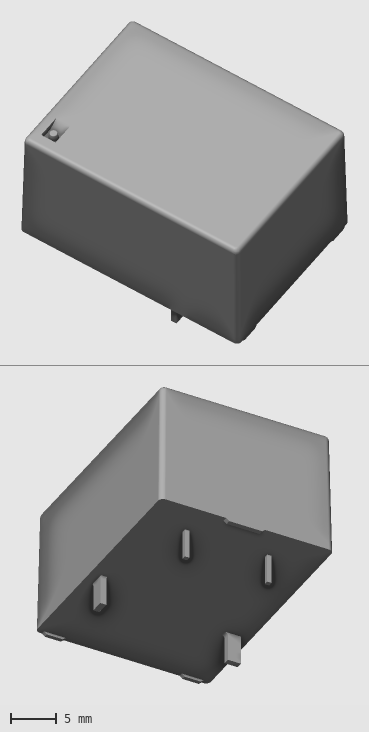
import cadquery as cq
import math

CASE_LENGTH = 28.9
CASE_WIDTH = 21.4
CASE_HEIGHT = 15.35
CASE_DRAFT = 1.0
CASE_EDGE_RADIUS = 0.6

STANDOFF_HEIGHT = 0.3
CENTRE_STANDOFF_LENGTH = 0.6
CORNER_STANDOFF_LENGTH = 0.5
STANDOFF_CHAMFER = 0.36
CENTRE_STANDOFF_Y = (-2.2, 2.6)
CORNER_STANDOFF_Y = (7.15, 9.85)

GRID = 2.54
GRID_OFFSET_Y = 0.2
PIN_LENGTH = 3.6
COIL_PIN_SIZE = 0.55
COIL_PIN_X = -4 * GRID
COIL_PIN_HALF_PITCH = 2 * GRID
BLADE_WIDTH = 1.6
BLADE_THICKNESS = 0.75
BLADE_HALF_PITCH = 3.5 * GRID
CONTACT_BLADE_X = GRID
COMMON_BLADE_X = 2 * GRID
FLARE_DEPTH = 0.4
NARROW_FLARE = 0.15
WIDE_FLARE = 0.35

RECESS_LENGTH = 1.9
RECESS_WIDTH = 2.85
RECESS_SLOPE_RUN = 1.06
RECESS_DEPTH = 0.8
RECESS_CENTRE_X = -11.9
RECESS_FRONT_Y = -8.82
POST_RADIUS = 0.58
POST_DRAFT = 10.0
POST_EDGE_RADIUS = 0.13
POST_CENTRE_Y = -7.82


def make_standoff(start_x, length, low_y, high_y):
    """Low foot under the case, narrowing downwards at both Y ends."""
    return (
        cq.Workplane("YZ", origin=(start_x, 0, 0))
        .moveTo(low_y, 0)
        .lineTo(low_y + STANDOFF_CHAMFER, -STANDOFF_HEIGHT)
        .lineTo(high_y - STANDOFF_CHAMFER, -STANDOFF_HEIGHT)
        .lineTo(high_y, 0)
        .close()
        .extrude(length)
    )


def make_standoffs():
    """One standoff amid the -X side and one near each corner of the +X side."""
    corner_start_x = CASE_LENGTH / 2 - CORNER_STANDOFF_LENGTH
    near_y, far_y = CORNER_STANDOFF_Y
    return (
        make_standoff(-CASE_LENGTH / 2, CENTRE_STANDOFF_LENGTH, *CENTRE_STANDOFF_Y)
        .union(make_standoff(corner_start_x, CORNER_STANDOFF_LENGTH, near_y, far_y))
        .union(make_standoff(corner_start_x, CORNER_STANDOFF_LENGTH, -far_y, -near_y))
    )


def make_case():
    """Drafted box with rounded edges, trimmed below Z = 0 to leave the standoffs.

    The drafted sides run on down to the standoff feet, so the outer faces stay flush.
    """
    foot_growth = 2 * STANDOFF_HEIGHT * math.tan(math.radians(CASE_DRAFT))
    case = (
        cq.Workplane("XY", origin=(0, 0, -STANDOFF_HEIGHT))
        .rect(CASE_LENGTH, CASE_WIDTH + foot_growth)
        .extrude(CASE_HEIGHT + STANDOFF_HEIGHT, taper=CASE_DRAFT)
        .edges("not #Z")
        .fillet(CASE_EDGE_RADIUS)
        .faces(">Z")
        .edges()
        .fillet(CASE_EDGE_RADIUS)
    )
    trim = (
        cq.Workplane("XY")
        .rect(2 * CASE_LENGTH, 2 * CASE_WIDTH)
        .extrude(-STANDOFF_HEIGHT)
        .cut(make_standoffs())
    )
    return case.cut(trim)


def make_recess():
    """Cutter for the vent recess, leaving the post standing on its floor."""
    floor_z = CASE_HEIGHT - RECESS_DEPTH
    back_y = RECESS_FRONT_Y + RECESS_WIDTH
    pocket = (
        cq.Workplane("YZ", origin=(RECESS_CENTRE_X, 0, 0))
        .moveTo(RECESS_FRONT_Y, CASE_HEIGHT)
        .lineTo(RECESS_FRONT_Y, floor_z)
        .lineTo(back_y - RECESS_SLOPE_RUN, floor_z)
        .lineTo(back_y, CASE_HEIGHT)
        .close()
        .extrude(RECESS_LENGTH / 2, both=True)
    )
    post = (
        cq.Workplane("XY", origin=(RECESS_CENTRE_X, POST_CENTRE_Y, floor_z))
        .circle(POST_RADIUS)
        .extrude(RECESS_DEPTH, taper=POST_DRAFT)
        .faces(">Z")
        .edges()
        .fillet(POST_EDGE_RADIUS)
    )
    return pocket.cut(post)


def make_coil_pin(centre_y):
    """Square pin hanging from the underside."""
    return (
        cq.Workplane("XY", origin=(COIL_PIN_X, centre_y, 0))
        .rect(COIL_PIN_SIZE, COIL_PIN_SIZE)
        .extrude(-PIN_LENGTH)
    )


def flare_mid(flare):
    """Outward offset, halfway down, of an arc that ends tangent to the blade edge."""
    radius = (FLARE_DEPTH**2 + flare**2) / (2 * flare)
    return radius - math.sqrt(radius**2 - (FLARE_DEPTH / 2) ** 2)


def make_blade(plane, low_flare, high_flare):
    """Flat blade in the given upright plane; its edges may flare out at the root."""
    half = BLADE_WIDTH / 2
    outline = cq.Workplane(plane).moveTo(-half - low_flare, 0)
    if low_flare > 0:
        outline = outline.threePointArc(
            (-half - flare_mid(low_flare), -FLARE_DEPTH / 2), (-half, -FLARE_DEPTH)
        )
    outline = outline.lineTo(-half, -PIN_LENGTH).lineTo(half, -PIN_LENGTH)
    if high_flare > 0:
        outline = outline.lineTo(half, -FLARE_DEPTH).threePointArc(
            (half + flare_mid(high_flare), -FLARE_DEPTH / 2), (half + high_flare, 0)
        )
    else:
        outline = outline.lineTo(half, 0)
    return outline.close().extrude(BLADE_THICKNESS / 2, both=True)


result = make_case().cut(make_recess())

for side in (-1, 1):
    result = result.union(make_coil_pin(GRID_OFFSET_Y + side * COIL_PIN_HALF_PITCH))

contact_blade = make_blade("XZ", NARROW_FLARE, WIDE_FLARE)
contact_y = GRID_OFFSET_Y + BLADE_HALF_PITCH
result = result.union(contact_blade.translate((CONTACT_BLADE_X, contact_y, 0)))

common_blade = make_blade("YZ", 0, WIDE_FLARE)
common_y = GRID_OFFSET_Y - BLADE_HALF_PITCH
result = result.union(common_blade.translate((COMMON_BLADE_X, common_y, 0)))